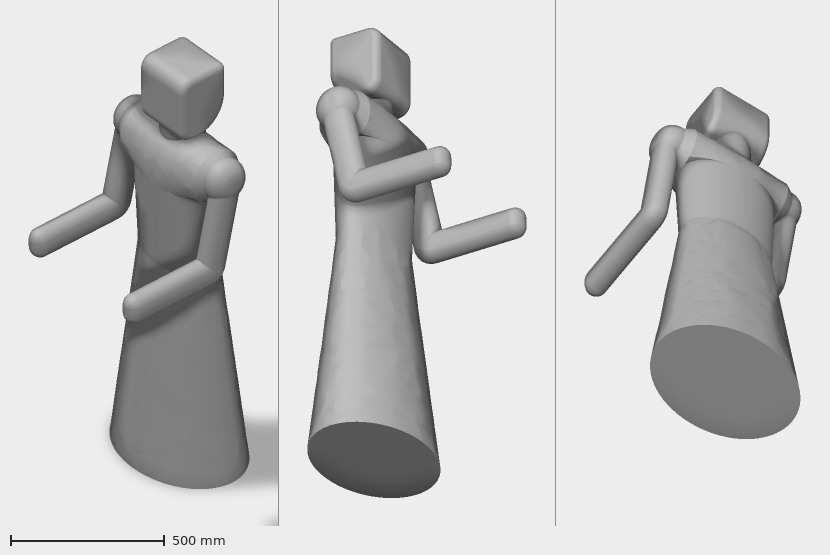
import cadquery as cq
import math


SKIRT_HALF_WIDTH = 266.0
SKIRT_HALF_DEPTH = 195.0
WAIST_HALF_WIDTH = 172.0
WAIST_HALF_DEPTH = 100.0
WAIST_HEIGHT = 789.0

CHEST_HALF_WIDTH = 182.0
CHEST_HALF_DEPTH = 115.0
CHEST_BASE_HEIGHT = 1120.0
CHEST_TOP_HEIGHT = 1300.0
CHEST_ARCH_RISE = 131.0
CHEST_CENTRE_Y = -3.0
CHEST_END_RADIUS = 97.0
CHEST_END_HEIGHT = 1200.0

COLLAR_TIP_X = 220.0
COLLAR_TIP_RADIUS = 72.0
COLLAR_TIP_HEIGHT = 1208.0

SHOULDER_HEIGHT = 1210.0
SHOULDER_RADIUS = 152.0 / 2
SHOULDER_OUTER_X = 555.0 / 2
SHOULDER_ROUNDING = 56.0
ARMPIT_FILLET = 8.0

ARM_X = 235.0
ARM_HALF_WIDTH = 39.0
ARM_HALF_HEIGHT = 53.0
ARM_END_RADIUS = 37.1
ELBOW_Y = -85.0
FOREARM_HEIGHT = 886.0
FOREARM_TIP_Y = SKIRT_HALF_DEPTH - 628.0
FOREARM_TIP_FILLET = 36.8
ELBOW_STUB_LENGTH = 60.0

HEAD_WIDTH = 219.0
HEAD_FRONT_Y = -83.0
HEAD_BACK_Y = 110.0
HEAD_BOTTOM_HEIGHT = 1315.0
HEAD_TOP_HEIGHT = 1565.0
HEAD_NAPE_RADIUS = 125.0
HEAD_FRONT_FILLET = 49.0
HEAD_EDGE_FILLET = 23.0
NECK_RADIUS = 152.0 / 2
NECK_Y = (HEAD_FRONT_Y + HEAD_BACK_Y) / 2

DIAGONAL = math.sqrt(0.5)

END_CENTRE = ARM_HALF_HEIGHT - ARM_END_RADIUS
HALF_WIDTH_EXCESS = ARM_HALF_WIDTH - ARM_END_RADIUS
SIDE_CENTRE = (END_CENTRE**2 - HALF_WIDTH_EXCESS**2) / (2 * HALF_WIDTH_EXCESS)
SIDE_RADIUS = SIDE_CENTRE + ARM_HALF_WIDTH
TANGENT_ANGLE = math.atan2(END_CENTRE, SIDE_CENTRE)
TANGENT_X = SIDE_RADIUS * math.cos(TANGENT_ANGLE) - SIDE_CENTRE
TANGENT_Z = SIDE_RADIUS * math.sin(TANGENT_ANGLE)

ELBOW_HEIGHT = FOREARM_HEIGHT + END_CENTRE
SHOULDER_RISE = SHOULDER_HEIGHT - ELBOW_HEIGHT
SHOULDER_DISTANCE = math.hypot(SHOULDER_RISE, ELBOW_Y)
UPPER_ARM_LENGTH = math.sqrt(SHOULDER_DISTANCE**2 - END_CENTRE**2)
ARM_LEAN = math.atan2(-ELBOW_Y, SHOULDER_RISE) - math.asin(END_CENTRE / SHOULDER_DISTANCE)
ELBOW_BEND = 90 - math.degrees(ARM_LEAN)



def ellipse_wire(height, half_width, half_depth, centre_y=0):
    plane = cq.Workplane("XY", origin=(0, centre_y, height))
    return plane.ellipse(half_width, half_depth).wires().val()


def waist_wire():
    return ellipse_wire(WAIST_HEIGHT, WAIST_HALF_WIDTH, WAIST_HALF_DEPTH)


def make_skirt():
    hem = ellipse_wire(0, SKIRT_HALF_WIDTH, SKIRT_HALF_DEPTH)
    return cq.Workplane(cq.Solid.makeLoft([hem, waist_wire()], True))


def make_lower_torso():
    top = ellipse_wire(CHEST_BASE_HEIGHT, CHEST_HALF_WIDTH, CHEST_HALF_DEPTH, CHEST_CENTRE_Y)
    return cq.Workplane(cq.Solid.makeLoft([waist_wire(), top], True))


def arch_wire(x, centre_y, base_half_depth, half_depth, widest_height, rise):
    """Chest cross section at one X: a flat base under a smooth arch."""
    haunch_y = half_depth * DIAGONAL
    haunch_height = widest_height + rise * DIAGONAL
    arch = [
        (half_depth, widest_height),
        (haunch_y, haunch_height),
        (0, widest_height + rise),
        (-haunch_y, haunch_height),
        (-half_depth, widest_height),
        (-base_half_depth, CHEST_BASE_HEIGHT),
    ]
    return (
        cq.Workplane("YZ", origin=(x, centre_y, 0))
        .moveTo(base_half_depth, CHEST_BASE_HEIGHT)
        .spline(arch, includeCurrent=True)
        .close()
        .wires()
        .val()
    )


def chest_end_wire(side):
    drop = CHEST_END_HEIGHT - CHEST_BASE_HEIGHT
    base_half_depth = math.sqrt(CHEST_END_RADIUS**2 - drop**2)
    return arch_wire(
        side * CHEST_HALF_WIDTH, 0, base_half_depth,
        CHEST_END_RADIUS, CHEST_END_HEIGHT, CHEST_END_RADIUS,
    )


def make_chest():
    middle = arch_wire(
        0, CHEST_CENTRE_Y, CHEST_HALF_DEPTH,
        CHEST_HALF_DEPTH, CHEST_TOP_HEIGHT - CHEST_ARCH_RISE, CHEST_ARCH_RISE,
    )
    return cq.Workplane(cq.Solid.makeLoft([chest_end_wire(-1), middle, chest_end_wire(1)]))


def make_collar(side):
    def ring(x, height, radius):
        plane = cq.Workplane("YZ", origin=(side * x, 0, height))
        return plane.circle(radius).wires().val()

    root = ring(CHEST_HALF_WIDTH, CHEST_END_HEIGHT, CHEST_END_RADIUS)
    tip = ring(COLLAR_TIP_X, COLLAR_TIP_HEIGHT, COLLAR_TIP_RADIUS)
    return cq.Workplane(cq.Solid.makeLoft([root, tip], True))


def make_shoulder_cap(side):
    outer_face = ">X" if side > 0 else "<X"
    return (
        cq.Workplane("YZ", origin=(side * CHEST_HALF_WIDTH, 0, SHOULDER_HEIGHT))
        .circle(SHOULDER_RADIUS)
        .extrude(side * (SHOULDER_OUTER_X - CHEST_HALF_WIDTH))
        .faces(outer_face)
        .edges()
        .fillet(SHOULDER_ROUNDING)
    )


def shared_edges(joined, first, second):
    """Edges of the joined solid along which the skins of two of its parts meet."""
    tolerance = 0.02

    def touches(point, part):
        return min(face.distance(point) for face in part.faces().vals()) < tolerance

    edges = []
    for edge in joined.edges().vals():
        middle = cq.Vertex.makeVertex(*edge.positionAt(0.5).toTuple())
        if touches(middle, first) and touches(middle, second):
            edges.append(edge)
    return edges


def make_shoulder_and_upper_arm(side):
    shoulder = make_shoulder_cap(side).union(make_collar(side))
    upper_arm = leaning_arm(side, ELBOW_STUB_LENGTH, UPPER_ARM_LENGTH)
    joined = shoulder.union(upper_arm)
    return joined.newObject(shared_edges(joined, shoulder, upper_arm)).fillet(ARMPIT_FILLET)


def make_torso():
    torso = make_lower_torso().union(make_chest())
    for side in (-1, 1):
        torso = torso.union(make_shoulder_and_upper_arm(side))
    return torso



def section_plane(side):
    """Upright plane across the start of the forearm, centred on its section."""
    return cq.Workplane("XZ", origin=(side * ARM_X, ELBOW_Y, FOREARM_HEIGHT))


def oval(plane):
    return (
        plane.moveTo(TANGENT_X, -TANGENT_Z)
        .threePointArc((ARM_HALF_WIDTH, 0), (TANGENT_X, TANGENT_Z))
        .threePointArc((0, ARM_HALF_HEIGHT), (-TANGENT_X, TANGENT_Z))
        .threePointArc((-ARM_HALF_WIDTH, 0), (-TANGENT_X, -TANGENT_Z))
        .threePointArc((0, -ARM_HALF_HEIGHT), (TANGENT_X, -TANGENT_Z))
        .close()
    )


def leaning_arm(side, start, end):
    """Stretch of the upper arm between two distances from the elbow axis."""
    axis_start = (side * ARM_X, ELBOW_Y, ELBOW_HEIGHT)
    axis_end = (side * ARM_X + 15, ELBOW_Y, ELBOW_HEIGHT)
    level_arm = oval(section_plane(side)).extrude(start - end).translate((0, start, 0))
    return level_arm.rotate(axis_start, axis_end, ELBOW_BEND)


def make_elbow(side):
    """Outside of the bend: the section below the elbow axis, turned about that axis."""
    axis_half_width = math.sqrt(SIDE_RADIUS**2 - END_CENTRE**2) - SIDE_CENTRE
    return (
        section_plane(side)
        .moveTo(axis_half_width, END_CENTRE)
        .threePointArc((ARM_HALF_WIDTH, 0), (TANGENT_X, -TANGENT_Z))
        .threePointArc((0, -ARM_HALF_HEIGHT), (-TANGENT_X, -TANGENT_Z))
        .threePointArc((-ARM_HALF_WIDTH, 0), (-axis_half_width, END_CENTRE))
        .close()
        .revolve(ELBOW_BEND, (0, END_CENTRE, 0), (1, END_CENTRE, 0))
    )


def make_forearm(side):
    forearm = oval(section_plane(side)).extrude(ELBOW_Y - FOREARM_TIP_Y)
    forearm = forearm.faces("<Y").edges().fillet(FOREARM_TIP_FILLET)
    return forearm.union(make_elbow(side)).union(leaning_arm(side, 0, ELBOW_STUB_LENGTH))



def make_skull():
    nape_y = HEAD_BACK_Y - HEAD_NAPE_RADIUS
    nape_height = HEAD_BOTTOM_HEIGHT + HEAD_NAPE_RADIUS
    nape_diagonal = HEAD_NAPE_RADIUS * DIAGONAL
    chin_height = nape_height - math.sqrt(HEAD_NAPE_RADIUS**2 - (nape_y - HEAD_FRONT_Y) ** 2)
    skull = (
        cq.Workplane("YZ", origin=(-HEAD_WIDTH / 2, 0, 0))
        .moveTo(HEAD_FRONT_Y, HEAD_TOP_HEIGHT)
        .lineTo(HEAD_BACK_Y, HEAD_TOP_HEIGHT)
        .lineTo(HEAD_BACK_Y, nape_height)
        .threePointArc(
            (nape_y + nape_diagonal, nape_height - nape_diagonal),
            (HEAD_FRONT_Y, chin_height),
        )
        .close()
        .extrude(HEAD_WIDTH)
    )
    skull = skull.faces("<Y").edges("|X").fillet(HEAD_FRONT_FILLET)
    skull = skull.faces(">Z").edges(">Y").fillet(HEAD_EDGE_FILLET)
    return skull.faces("<X or >X").edges().fillet(HEAD_EDGE_FILLET)


def make_head(torso):
    """Skull and neck as one solid; the neck is seated on the curved top of the torso."""
    neck_start = CHEST_TOP_HEIGHT - CHEST_ARCH_RISE
    neck_end = HEAD_BOTTOM_HEIGHT + HEAD_NAPE_RADIUS
    neck = (
        cq.Workplane("XY", origin=(0, NECK_Y, neck_start))
        .circle(NECK_RADIUS)
        .extrude(neck_end - neck_start)
    )
    return make_skull().union(neck.cut(torso))


skirt = make_skirt()
torso = make_torso()
head = make_head(torso)
forearms = [make_forearm(side) for side in (-1, 1)]

result = cq.Compound.makeCompound(
    [skirt.val(), torso.val(), head.val(), *[forearm.val() for forearm in forearms]]
)